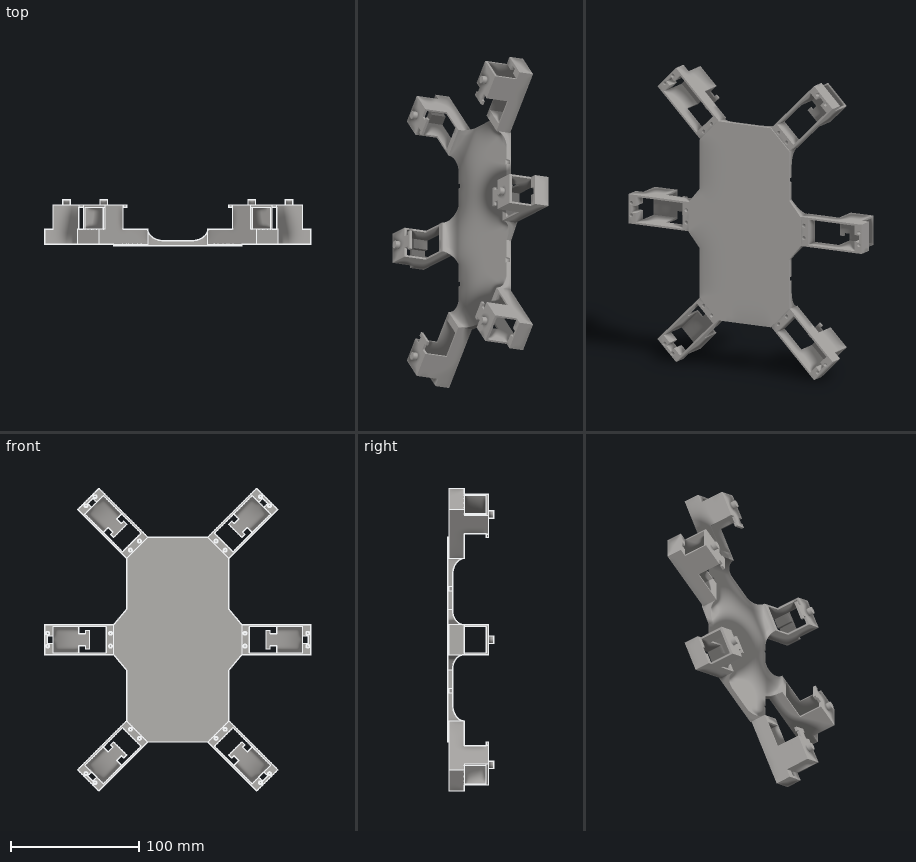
import cadquery as cq
import math


body_half_width = 40.0
body_half_height = 80.0
shoulder_half_width = 50.0
shoulder_base_half_height = 23.75
cover_thickness = 1.0
base_thickness = 3.0
notch_height = 3.5
notch_depth = 2.0
notch_offset = 39.75

arm_length = 54.0
arm_width = 23.5
arm_height = 12.0
arm_wall = 1.5
inner_block_length = 6.0
outer_block_length = 6.5
cable_slot_width = 5.6
cable_slot_length = 4.2
screw_mouth_diameter = 3.0
screw_floor_diameter = 1.8
screw_depth = 10.0
screw_spacing_along = 49.0
screw_spacing_across = 10.0
inner_screw_offset = 2.5

bracket_length = 20.3
bracket_rise = 19.0
bracket_back = 2.0
neck_length = 5.1
neck_width = 9.6
tab_length = 3.4
tab_width = 14.6
pin_diameter = 6.0
pin_height = 4.0
pin_inset = 10.7

corner_cut = arm_width / math.sqrt(2)
window_width = arm_width - 2 * arm_wall
window_outer = arm_length - outer_block_length
bracket_inner = window_outer - bracket_length
bracket_top = arm_height + bracket_rise
back_floor = bracket_top - bracket_back
fillet_radius = arm_height - base_thickness


def block(x_start, x_end, width, y_start, y_end):
    """Box centred on Z = 0, given by its X and Y ranges."""
    size_x = x_end - x_start
    size_y = y_end - y_start
    corner = (x_start, y_start, -width / 2)
    return cq.Workplane("XY").box(size_x, size_y, width, centered=False).translate(corner)


def y_cylinder(x, z, diameter, y_start, length):
    """Cylinder along +Y from y_start."""
    axis = cq.Vector(0, 1, 0)
    cylinder = cq.Solid.makeCylinder(diameter / 2, length, cq.Vector(x, y_start, z), axis)
    return cq.Workplane(obj=cylinder)


def body_prism(y_start, y_end):
    """Body outline, with cut corners and a shoulder on each side, between two Y levels."""
    quadrant = [
        (shoulder_half_width, arm_width / 2),
        (body_half_width, shoulder_base_half_height),
        (body_half_width, body_half_height - corner_cut),
        (body_half_width - corner_cut, body_half_height),
    ]
    right_side = [(x, -z) for x, z in reversed(quadrant)] + quadrant
    left_side = [(-x, -z) for x, z in right_side]
    outline = cq.Workplane("XZ").polyline(right_side + left_side).close()
    return outline.extrude(y_start - y_end).translate((0, y_start, 0))


def screw_hole(x, z):
    """Blind hole from the front face that narrows toward a flat floor."""
    mouth_radius = screw_mouth_diameter / 2
    floor_radius = screw_floor_diameter / 2
    axis = cq.Vector(0, 1, 0)
    cone = cq.Solid.makeCone(mouth_radius, floor_radius, screw_depth, cq.Vector(x, 0, z), axis)
    return cq.Workplane(obj=cone)


def make_frame():
    """Servo frame with a window, a cable slot in the outer block and four tapered blind screw holes."""
    frame = block(0, arm_length, arm_width, 0, arm_height)
    frame = frame.cut(block(inner_block_length, window_outer, window_width, 0, arm_height))
    slot_end = window_outer + cable_slot_length
    frame = frame.cut(block(window_outer, slot_end, cable_slot_width, 0, arm_height))
    for x in (inner_screw_offset, inner_screw_offset + screw_spacing_along):
        for side in (-1, 1):
            z = side * screw_spacing_across / 2
            frame = frame.cut(screw_hole(x, z))
    return frame


def make_bracket():
    """Channel open at both ends, with a T-shaped tab pointing inward and a pin on its back."""
    bracket = block(bracket_inner, window_outer, arm_width, arm_height, bracket_top)
    bracket = bracket.cut(block(bracket_inner, window_outer, window_width, arm_height, back_floor))
    neck_inner = bracket_inner - neck_length
    tab_inner = neck_inner - tab_length
    bracket = bracket.union(block(neck_inner, bracket_inner, neck_width, back_floor, bracket_top))
    bracket = bracket.union(block(tab_inner, neck_inner, tab_width, back_floor, bracket_top))
    pin_x = window_outer - pin_inset
    return bracket.union(y_cylinder(pin_x, 0, pin_diameter, bracket_top, pin_height))


def make_root_fillet():
    """Concave fillet from the arm's inner face down to the base plate, wider than the body edge."""
    mid = fillet_radius * math.sqrt(0.5)
    profile = (
        cq.Workplane("XY")
        .moveTo(0, 0)
        .lineTo(0, arm_height)
        .threePointArc((-fillet_radius + mid, arm_height - mid), (-fillet_radius, base_thickness))
        .lineTo(-fillet_radius, 0)
        .close()
    )
    return profile.extrude(body_half_height, both=True)


def place(shape, x, z, angle):
    """Turn an arm shape about Y so it points at the angle from +X toward +Z, then move it."""
    return shape.rotate((0, 0, 0), (0, 1, 0), -angle).translate((x, 0, z))


def cut_notches(body):
    """Four shallow notches in the long edges of the base plate."""
    for x_side in (-1, 1):
        for z_side in (-1, 1):
            notch = cq.Workplane("XY").box(2 * notch_depth, base_thickness, notch_height)
            center = (x_side * body_half_width, base_thickness / 2, z_side * notch_offset)
            body = body.cut(notch.translate(center))
    return body


corner_x = body_half_width - corner_cut / 2
corner_z = body_half_height - corner_cut / 2
arm_places = [
    (shoulder_half_width, 0, 0),
    (corner_x, corner_z, 45),
    (-corner_x, corner_z, 135),
    (-shoulder_half_width, 0, 180),
    (-corner_x, -corner_z, 225),
    (corner_x, -corner_z, 315),
]

arm = make_frame().union(make_bracket())
root_fillet = make_root_fillet()
body_envelope = body_prism(0, arm_height)

result = cut_notches(body_prism(0, base_thickness)).union(body_prism(-cover_thickness, 0))
for root_x, root_z, direction in arm_places:
    result = result.union(place(root_fillet, root_x, root_z, direction).intersect(body_envelope))
    result = result.union(place(arm, root_x, root_z, direction))